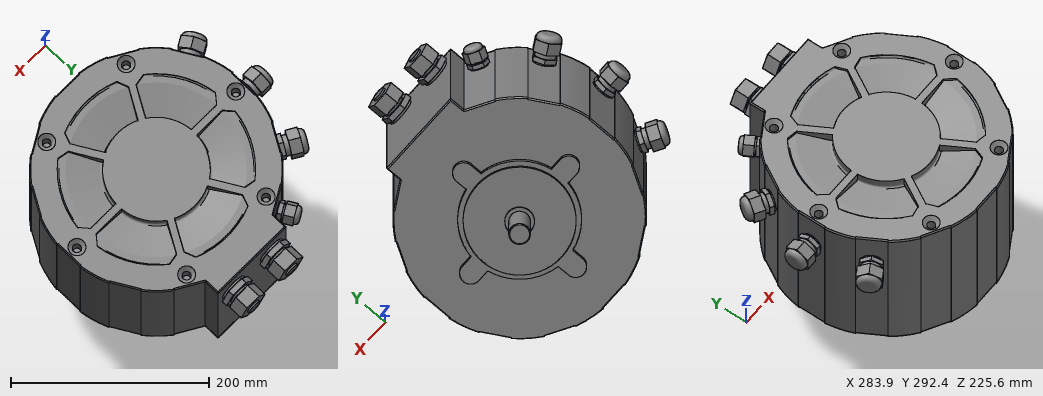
import cadquery as cq
import math

HOUSING_HEIGHT = 172.2
FACET_COUNT = 12
FACET_HALF_ANGLE = 7.5
FACET_DISTANCE = 126.0
SHELL_RADIUS = 127.9
EDGE_CHAMFER_WIDTH = 1.2
TOP_CHAMFER_HEIGHT = 2.0
BOTTOM_CHAMFER_HEIGHT = 2.6

TERMINAL_BOX_HALF_WIDTH = 49.0
TERMINAL_BOX_FACE_Y = 135.3

RIB_COUNT = 6
RIB_HALF_WIDTH = 4.0
HUB_RADIUS = 54.4
HUB_FILLET = 2.0
HUB_DEPTH = 10.7
LAND_DEPTH = 3.0
LAND_INNER_RADIUS = 91.3
WINDOW_RADIUS = 100.0
WINDOW_FILLET = 1.6
WINDOW_CORNER_RADIUS = 90.8
WINDOW_CORNER_ANGLE = 8.0

SCREW_CIRCLE_RADIUS = 114.2
SCREW_HOLE_DIAMETER = 9.0
SCREW_HOLE_DEPTH = 20.0
SCREW_HEAD_DIAMETER = 18.0
SCREW_HEAD_ANGLE = 90.0

FLANGE_THICKNESS = 5.4
FLANGE_RADIUS = 62.5
LUG_COUNT = 4
LUG_CENTER_RADIUS = 75.0
LUG_RADIUS = 11.2
PILOT_THICKNESS = 3.5
PILOT_RADIUS = 57.0
COLLAR_THICKNESS = 1.7
COLLAR_RADIUS = 15.0
SHAFT_RADIUS = 11.0
SHAFT_END_Z = -53.4
SHAFT_CHAMFER = 1.0

SIDE_GLAND_Z = 131.4
MAIN_GLAND_ANGLES = (150, 180, 210)
PILOT_GLAND_ANGLE = 120
POWER_GLAND_Z = 139.4
POWER_GLAND_X = 27.2
GLAND_EMBEDDING = 2.4


def polar(radius, angle):
    """Point at a radius and an angle in degrees."""
    return (radius * math.cos(math.radians(angle)), radius * math.sin(math.radians(angle)))


def housing_outline(z, inset):
    """Outline of flat facets alternating with slightly proud arcs, pulled in by inset."""
    pitch = 360 / FACET_COUNT
    arc_radius = SHELL_RADIUS - inset
    facet_end_radius = (FACET_DISTANCE - inset) / math.cos(math.radians(FACET_HALF_ANGLE))
    outline = cq.Workplane("XY", origin=(0, 0, z)).moveTo(*polar(facet_end_radius, -FACET_HALF_ANGLE))
    for index in range(FACET_COUNT):
        facet_angle = index * pitch
        arc_start = facet_angle + FACET_HALF_ANGLE
        arc_end = facet_angle + pitch - FACET_HALF_ANGLE
        outline = outline.lineTo(*polar(facet_end_radius, arc_start))
        outline = outline.lineTo(*polar(arc_radius, arc_start))
        arc_middle = polar(arc_radius, facet_angle + pitch / 2)
        outline = outline.threePointArc(arc_middle, polar(arc_radius, arc_end))
        if index < FACET_COUNT - 1:
            outline = outline.lineTo(*polar(facet_end_radius, arc_end))
    return outline.close()


def terminal_box_outline(z, inset):
    """Rectangle from the motor axis to the terminal box face, pulled in by inset."""
    half_width = TERMINAL_BOX_HALF_WIDTH - inset
    face_y = TERMINAL_BOX_FACE_Y - inset
    return cq.Workplane("XY", origin=(0, 0, z)).rect(half_width * 2, face_y).translate((0, face_y / 2, 0))


def chamfered_prism(outline):
    """Prism over the housing height with sloping bands at its bottom and top edges."""
    levels = (
        (0, EDGE_CHAMFER_WIDTH),
        (BOTTOM_CHAMFER_HEIGHT, 0),
        (HOUSING_HEIGHT - TOP_CHAMFER_HEIGHT, 0),
        (HOUSING_HEIGHT, EDGE_CHAMFER_WIDTH),
    )
    wires = [outline(z, inset).wires().val() for z, inset in levels]
    return cq.Workplane(cq.Solid.makeLoft(wires, True))


def window_bowl():
    """Ring-shaped recess: filleted hub foot, conical floor, flat ledge, filleted outer wall."""
    top = HOUSING_HEIGHT
    land_z = top - LAND_DEPTH
    floor_z = top - HUB_DEPTH
    diagonal = 1 - math.sqrt(0.5)
    return (
        cq.Workplane("XZ")
        .moveTo(HUB_RADIUS, top)
        .lineTo(HUB_RADIUS, floor_z + HUB_FILLET)
        .threePointArc(
            (HUB_RADIUS + HUB_FILLET * diagonal, floor_z + HUB_FILLET * diagonal),
            (HUB_RADIUS + HUB_FILLET, floor_z),
        )
        .lineTo(LAND_INNER_RADIUS, land_z)
        .lineTo(WINDOW_RADIUS - WINDOW_FILLET, land_z)
        .threePointArc(
            (WINDOW_RADIUS - WINDOW_FILLET * diagonal, land_z + WINDOW_FILLET * diagonal),
            (WINDOW_RADIUS, land_z + WINDOW_FILLET),
        )
        .lineTo(WINDOW_RADIUS, top)
        .close()
        .revolve(360, (0, 0, 0), (0, 1, 0))
    )


def window_sector():
    """Prism bounding one window: two rib walls, two slanted corners, open towards hub and rim."""
    pitch = 360 / RIB_COUNT
    rib_end = (math.sqrt(WINDOW_CORNER_RADIUS ** 2 - RIB_HALF_WIDTH ** 2), RIB_HALF_WIDTH)
    rib_end_angle = math.degrees(math.atan2(rib_end[1], rib_end[0]))
    apex = polar(RIB_HALF_WIDTH / math.sin(math.radians(pitch / 2)), pitch / 2)
    return (
        cq.Workplane("XY", origin=(0, 0, HOUSING_HEIGHT - HUB_DEPTH))
        .moveTo(*apex)
        .lineTo(*rib_end)
        .lineTo(*polar(WINDOW_RADIUS, WINDOW_CORNER_ANGLE))
        .threePointArc(polar(WINDOW_RADIUS, pitch / 2), polar(WINDOW_RADIUS, pitch - WINDOW_CORNER_ANGLE))
        .lineTo(*polar(WINDOW_CORNER_RADIUS, pitch - rib_end_angle))
        .close()
        .extrude(HUB_DEPTH)
    )


def cut_windows(body):
    """Sink the six spoked windows into the top cover."""
    window = window_bowl().intersect(window_sector())
    for index in range(RIB_COUNT):
        body = body.cut(window.rotate((0, 0, 0), (0, 0, 1), index * 360 / RIB_COUNT))
    return body


def cut_screw_holes(body):
    """Countersunk blind holes, one at the end of each rib."""
    return (
        body.faces(">Z")
        .workplane(origin=(0, 0, HOUSING_HEIGHT))
        .polarArray(SCREW_CIRCLE_RADIUS, 0, 360, RIB_COUNT)
        .cskHole(SCREW_HOLE_DIAMETER, SCREW_HEAD_DIAMETER, SCREW_HEAD_ANGLE, SCREW_HOLE_DEPTH)
    )


def disc(radius, top_z, thickness):
    """Disc on the motor axis hanging down from top_z."""
    return cq.Workplane("XY", origin=(0, 0, top_z)).circle(radius).extrude(-thickness)


def mounting_flange():
    """Round flange with rounded lugs on the X and Y axes."""
    flange = disc(FLANGE_RADIUS, 0, FLANGE_THICKNESS)
    lug = (
        cq.Workplane("XY")
        .rect(LUG_CENTER_RADIUS, 2 * LUG_RADIUS)
        .extrude(-FLANGE_THICKNESS)
        .translate((LUG_CENTER_RADIUS / 2, 0, 0))
        .union(disc(LUG_RADIUS, 0, FLANGE_THICKNESS).translate((LUG_CENTER_RADIUS, 0, 0)))
    )
    for index in range(LUG_COUNT):
        flange = flange.union(lug.rotate((0, 0, 0), (0, 0, 1), index * 360 / LUG_COUNT))
    return flange


def shaft_end():
    """Pilot disc, collar and chamfered output shaft below the flange."""
    pilot_top = -FLANGE_THICKNESS
    collar_top = pilot_top - PILOT_THICKNESS
    shaft = disc(SHAFT_RADIUS, 0, -SHAFT_END_Z).faces("<Z").chamfer(SHAFT_CHAMFER)
    pilot = disc(PILOT_RADIUS, pilot_top, PILOT_THICKNESS)
    collar = disc(COLLAR_RADIUS, collar_top, COLLAR_THICKNESS)
    return shaft.union(pilot).union(collar)


def round_section(diameter, start, end):
    """Cylinder along +X between two distances from the motor axis."""
    return cq.Workplane("YZ", origin=(start, 0, 0)).circle(diameter / 2).extrude(end - start)


def hex_section(across_flats, start, end, roll):
    """Hexagon along +X; roll 0 puts flats on the +-Y sides, 90 puts flats on the +-Z sides."""
    across_corners = across_flats / math.cos(math.radians(30))
    hexagon = cq.Workplane("YZ", origin=(start, 0, 0)).polygon(6, across_corners).extrude(end - start)
    return hexagon.rotate((0, 0, 0), (1, 0, 0), 90 - roll)


def domed_gland(
    root, base_start, base_end, nut_start, nut_end, tip,
    collar_diameter, base_flats, neck_diameter, nut_flats, dome_diameter, dome_fillet, roll,
):
    """Cable gland along +X: collar, hexagon base, neck, hexagon nut and rounded cap."""
    collar = round_section(collar_diameter, root, base_start)
    base = hex_section(base_flats, base_start, base_end, roll)
    neck = round_section(neck_diameter, base_end, nut_start)
    nut = hex_section(nut_flats, nut_start, nut_end, roll)
    dome = round_section(dome_diameter, nut_end, tip).faces(">X").edges().fillet(dome_fillet)
    return collar.union(base).union(neck).union(nut).union(dome)


def side_glands():
    """Three main glands and one smaller pilot gland, pointing radially out of the facets."""
    root = FACET_DISTANCE - GLAND_EMBEDDING
    main_gland = domed_gland(
        root=root, base_start=127.6, base_end=132.9, nut_start=138.1, nut_end=150.8, tip=157.1,
        collar_diameter=23.5, base_flats=24.0, neck_diameter=22.0, nut_flats=27.0,
        dome_diameter=26.5, dome_fillet=5.2, roll=0,
    )
    pilot_gland = domed_gland(
        root=root, base_start=127.0, base_end=131.7, nut_start=133.6, nut_end=144.9, tip=150.0,
        collar_diameter=19.5, base_flats=20.0, neck_diameter=16.0, nut_flats=21.0,
        dome_diameter=20.0, dome_fillet=4.2, roll=90,
    )
    placed = [(main_gland, angle) for angle in MAIN_GLAND_ANGLES] + [(pilot_gland, PILOT_GLAND_ANGLE)]
    return [
        gland.rotate((0, 0, 0), (0, 0, 1), angle).translate((0, 0, SIDE_GLAND_Z))
        for gland, angle in placed
    ]


def power_glands():
    """Two large glands with a flat seal disc, standing on the terminal box face."""
    collar_diameter = 31.0
    base_flats = 32.0
    neck_diameter = 25.0
    nut_flats = 30.0
    seal_diameter = 16.0
    flats_up = 90
    root = TERMINAL_BOX_FACE_Y - GLAND_EMBEDDING
    base_start = 137.8
    base_end = 144.3
    nut_start = 147.1
    nut_end = 163.5
    tip = 165.6
    gland = (
        round_section(collar_diameter, root, base_start)
        .union(hex_section(base_flats, base_start, base_end, flats_up))
        .union(round_section(neck_diameter, base_end, nut_start))
        .union(hex_section(nut_flats, nut_start, nut_end, flats_up))
        .union(round_section(seal_diameter, nut_end, tip))
        .rotate((0, 0, 0), (0, 0, 1), 90)
    )
    return [gland.translate((x, 0, POWER_GLAND_Z)) for x in (-POWER_GLAND_X, POWER_GLAND_X)]


housing = chamfered_prism(housing_outline).union(chamfered_prism(terminal_box_outline))
housing = cut_screw_holes(cut_windows(housing))
result = housing.union(mounting_flange()).union(shaft_end())
for cable_gland in side_glands() + power_glands():
    result = result.union(cable_gland)